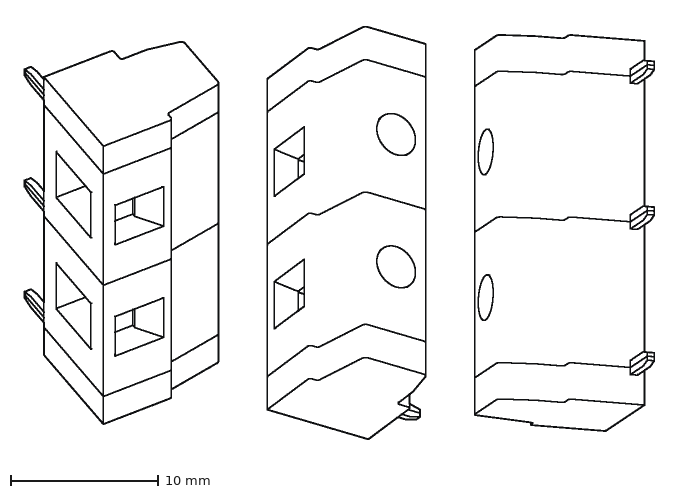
import cadquery as cq
import math


total_height = 25.4
pole_pitch = 10.15
pole_count = 2
stack_height = pole_count * pole_pitch
end_plate_thickness = (total_height - stack_height) / 2

base_width = 8.1
body_depth = 10.0
shoulder_depth = 5.4
left_shoulder = 1.1
right_shoulder = 0.69
left_wall_top = 7.45
side_draft = math.radians(10.7)
shoulder_radius = 0.2
top_radius = 0.3

pin_length = 3.5
pin_thickness = 0.5
pin_start_y = 0.5
pin_height = 1.0
pin_tip_length = 0.85
pin_tip_height = 0.55

pocket_width = 4.75
pocket_height = 4.17
pocket_depth = 4.57
pocket_center_x = 4.05
screw_hole_diameter = 3.1

window_center_y = 2.29
window_width = 1.98
window_height = 2.75
window_length = 0.28
mouth_center_y = 2.82
mouth_width = 3.8
mouth_height = 3.6


def housing_slice(bottom_z, height):
    """Slice of the housing: a stepped outline with a tapered upper part, extruded along Z."""
    left_lean = (body_depth - left_wall_top) * math.tan(side_draft)
    right_lean = (body_depth - shoulder_depth) * math.tan(side_draft)
    outline = [
        (0, 0),
        (base_width, 0),
        (base_width, shoulder_depth),
        (base_width - right_shoulder, shoulder_depth),
        (base_width - right_shoulder - right_lean, body_depth),
        (left_shoulder + left_lean, body_depth),
        (left_shoulder, left_wall_top),
        (left_shoulder, shoulder_depth),
        (0, shoulder_depth),
    ]
    housing = cq.Workplane("XY").workplane(offset=bottom_z).polyline(outline).close().extrude(height)
    shoulder_edges = cq.selectors.BoxSelector(
        (-0.25, shoulder_depth - 0.25, bottom_z - 0.25),
        (base_width + 0.25, shoulder_depth + 0.25, bottom_z + height + 0.25),
    )
    housing = housing.edges("|Z").edges(shoulder_edges).fillet(shoulder_radius)
    return housing.faces(">Y").edges("|Z").fillet(top_radius)


def half_pin(joint_z, side):
    """Half of a solder pin, above (side = 1) or below (side = -1) the joint at joint_z."""
    outline = [
        (0, joint_z),
        (-pin_length, joint_z),
        (-pin_length, joint_z + side * pin_tip_height / 2),
        (-pin_length + pin_tip_length, joint_z + side * pin_height / 2),
        (0, joint_z + side * pin_height / 2),
    ]
    plane = cq.Workplane("XZ").workplane(offset=-pin_start_y)
    return plane.polyline(outline).close().extrude(-pin_thickness)


def clamp_cavity(center_z):
    """Square pocket from the Y = 0 face and a round screw hole through to the far face."""
    plane = cq.Workplane("XZ").center(pocket_center_x, center_z)
    pocket = plane.rect(pocket_width, pocket_height).extrude(-pocket_depth)
    screw_hole = plane.circle(screw_hole_diameter / 2).extrude(-body_depth)
    return pocket.union(screw_hole)


def wire_entry(center_z):
    """Rectangular window in the pocket's +X wall that flares through that wall to a wider mouth."""
    pocket_wall_x = pocket_center_x + pocket_width / 2
    funnel_start_x = pocket_wall_x + window_length
    window = (
        cq.Workplane("YZ", origin=(pocket_wall_x, window_center_y, center_z))
        .rect(window_width, window_height)
        .extrude(window_length)
    )
    funnel = (
        cq.Workplane("YZ", origin=(funnel_start_x, window_center_y, center_z))
        .rect(window_width, window_height)
        .workplane(offset=base_width - funnel_start_x)
        .center(mouth_center_y - window_center_y, 0)
        .rect(mouth_width, mouth_height)
        .loft(ruled=True)
    )
    return window.union(funnel)


def pole_module(bottom_z):
    """Pole with its clamp cavity and wire entry, and a half pin at each of its joints."""
    center_z = bottom_z + pole_pitch / 2
    module = housing_slice(bottom_z, pole_pitch)
    module = module.cut(clamp_cavity(center_z)).cut(wire_entry(center_z))
    lower_pin = half_pin(bottom_z, 1)
    upper_pin = half_pin(bottom_z + pole_pitch, -1)
    return module.union(lower_pin).union(upper_pin)


def end_plate(joint_z, side):
    """Plain plate that closes the stack above (side = 1) or below (side = -1) joint_z."""
    bottom_z = min(joint_z, joint_z + side * end_plate_thickness)
    return housing_slice(bottom_z, end_plate_thickness).union(half_pin(joint_z, side))


stack_bottom = -stack_height / 2
stack_top = stack_height / 2

pole_modules = [pole_module(stack_bottom + i * pole_pitch) for i in range(pole_count)]
end_plates = [end_plate(joint_z, side) for joint_z, side in ((stack_bottom, -1), (stack_top, 1))]

result = cq.Compound.makeCompound([body.val() for body in pole_modules + end_plates])